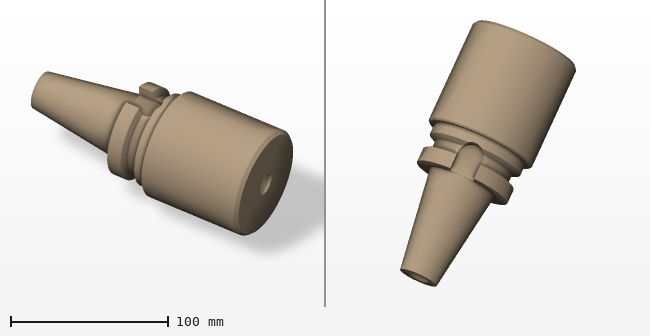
import cadquery as cq

total_length = 165.4
taper_length = 65.7
flange_face_x = 67.3
flange_rim_end_x = 77.0
groove_floor_start_x = 79.4
groove_floor_end_x = 84.5
rear_collar_start_x = 87.2
rear_collar_end_x = 92.6
body_start_x = 94.5

taper_small_radius = 12.7
taper_large_radius = 22.2
flange_diameter = 63.0
flange_radius = flange_diameter / 2
groove_radius = 26.6
neck_radius = 31.1
body_radius = 35.97
bore_radius = 7.0

front_chamfer = 1.0
rear_chamfer_length = 2.5
rear_chamfer_depth = 2.0

slot_width = 16.5
slot_floor_radius = 22.5
slot_end_x = 88.5


def make_holder():
    """Revolve the half profile, written as (axial station, radius), about X."""
    profile = [
        (0, bore_radius),
        (0, taper_small_radius),
        (taper_length, taper_large_radius),
        (flange_face_x, taper_large_radius),
        (flange_face_x, flange_radius),
        (flange_rim_end_x, flange_radius),
        (groove_floor_start_x, groove_radius),
        (groove_floor_end_x, groove_radius),
        (rear_collar_start_x, flange_radius),
        (rear_collar_end_x, flange_radius),
        (rear_collar_end_x, neck_radius),
        (body_start_x, neck_radius),
        (body_start_x, body_radius - front_chamfer),
        (body_start_x + front_chamfer, body_radius),
        (total_length - rear_chamfer_length, body_radius),
        (total_length, body_radius - rear_chamfer_depth),
        (total_length, bore_radius),
    ]
    return cq.Workplane("XY").polyline(profile).close().revolve(360, (0, 0, 0), (1, 0, 0))


def make_drive_slot():
    """Cutter for the top slot: open at the flange face, round at its far end."""
    half_width = slot_width / 2
    round_start_x = slot_end_x - half_width
    return (
        cq.Workplane("XY", origin=(0, 0, slot_floor_radius))
        .moveTo(flange_face_x, -half_width)
        .lineTo(round_start_x, -half_width)
        .threePointArc((slot_end_x, 0), (round_start_x, half_width))
        .lineTo(flange_face_x, half_width)
        .close()
        .extrude(body_radius - slot_floor_radius)
    )


top_slot = make_drive_slot()
bottom_slot = top_slot.mirror("XY")
result = make_holder().cut(top_slot).cut(bottom_slot)